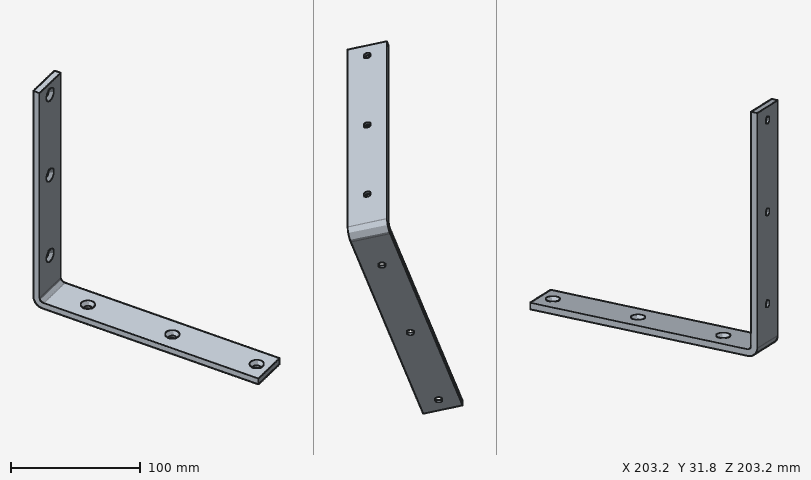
import cadquery as cq

leg_length = 203.2
width = 31.75
thickness = 5.6
inner_bend_radius = 3.6
outer_bend_radius = 8.4

hole_diameter = 5.75
countersink_diameter = 11.2
countersink_angle = 82
hole_count = 3
hole_spacing = 76.2
hole_end_distance = 11.13

hole_positions = [leg_length - hole_end_distance - i * hole_spacing for i in range(hole_count)]


def bent_strip():
    """L-shaped strip centred on Y, with its outer corner at the origin."""
    profile = (
        cq.Workplane("XZ")
        .moveTo(outer_bend_radius, 0)
        .lineTo(leg_length, 0)
        .lineTo(leg_length, thickness)
        .lineTo(thickness + inner_bend_radius, thickness)
        .radiusArc((thickness, thickness + inner_bend_radius), inner_bend_radius)
        .lineTo(thickness, leg_length)
        .lineTo(0, leg_length)
        .lineTo(0, outer_bend_radius)
        .radiusArc((outer_bend_radius, 0), -outer_bend_radius)
        .close()
    )
    return profile.extrude(width / 2, both=True)


def drill_leg(body, inner_plane, points):
    """Cut countersunk through holes into a leg, sunk from its inner face."""
    return (
        body.copyWorkplane(inner_plane)
        .pushPoints(points)
        .cskHole(hole_diameter, countersink_diameter, countersink_angle, depth=thickness)
    )


bottom_leg_plane = cq.Workplane("XY", origin=(0, 0, thickness))
upright_leg_plane = cq.Workplane("YZ", origin=(thickness, 0, 0))

result = bent_strip()
result = drill_leg(result, bottom_leg_plane, [(x, 0) for x in hole_positions])
result = drill_leg(result, upright_leg_plane, [(0, z) for z in hole_positions])